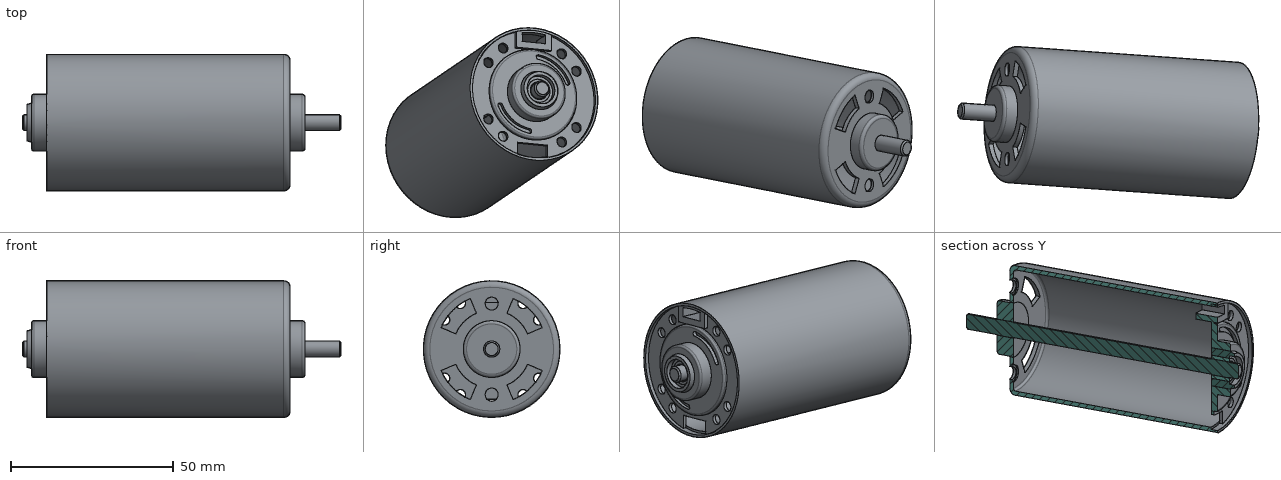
import cadquery as cq
import math


CAN_RADIUS = 21.05
CAN_LENGTH = 75.0
CAN_WALL = 1.5
CAN_BORE_RADIUS = CAN_RADIUS - CAN_WALL
CAN_FRONT_FILLET = 2.0
CAN_INNER_FILLET = 0.75
RIM_BORE_RADIUS = 20.25
FRONT_WALL_START = CAN_LENGTH - CAN_WALL

MOUNT_PITCH_RADIUS = 14.0
MOUNT_HOLE_RADIUS = 2.0
MOUNT_RECESS_RADIUS = 2.7
MOUNT_RECESS_DEPTH = 0.5
VENT_OUTER_RADIUS = 16.9
VENT_INNER_RADIUS = 12.0
VENT_SPAN = 44.0
VENT_ANGLES = (45, 135, 225, 315)

SHIELD_RECESS = 1.3
SHIELD_THICKNESS = 1.1
SHIELD_END = SHIELD_RECESS + SHIELD_THICKNESS
DISC_RADIUS = 14.3
DISC_FILLET = 0.65
PAD_WIDTH = 11.6
PAD_BOTTOM = 14.4
PAD_END = 8.0
WINDOW_WIDTH = 7.6
WINDOW_BOTTOM = 16.4
NOTCH_WIDTH = 9.8
NOTCH_TOP = 15.5
VENT_HOLE_DIAMETER = 3.1
VENT_HOLE_PITCH_RADIUS = 17.05
VENT_HOLE_ANGLES = (34.5, 58.2)
GROOVE_RADIUS = 12.0
GROOVE_WIDTH = 1.5
GROOVE_DEPTH = 1.3
GROOVE_MIDDLE_ANGLE = 37.2
GROOVE_SPAN = 60.0

HUB_RADIUS = 8.75
REAR_HUB_LENGTH = 4.6
REAR_HUB_FILLET = 0.65
FRONT_HUB_LENGTH = 4.6
FRONT_HUB_FILLET = 1.0

RETAINER_RADIUS = 6.07
RETAINER_TIP_RADIUS = 5.6
RETAINER_PROJECTION = 1.5
RETAINER_BORE_RADIUS = 4.55
RETAINER_RECESS_DEPTH = 1.9
BUSH_RADIUS = 3.66
BUSH_CHAMFER = 0.3

SHAFT_RADIUS = 2.5
SHAFT_CHAMFER = 0.5
SHAFT_REAR_END = -7.4
SHAFT_LENGTH = 98.0

REAR_HUB_FACE = -REAR_HUB_LENGTH
RETAINER_FACE = REAR_HUB_FACE - RETAINER_PROJECTION
BUSH_FACE = RETAINER_FACE + RETAINER_RECESS_DEPTH


def cylinder(radius, start, end):
    """Cylinder on the motor axis between two X positions."""
    return cq.Workplane("YZ", origin=(start, 0, 0)).circle(radius).extrude(end - start)


def block(width, bottom, top, start, end):
    """Box centred on Y = 0 that spans the given Z and X ranges."""
    box = cq.Workplane("XY").box(end - start, width, top - bottom, centered=(False, True, False))
    return box.translate((start, 0, bottom))


def polar(radius, angle):
    """Y and Z of a point, with the angle in degrees measured from +Z toward -Y."""
    return -radius * math.sin(math.radians(angle)), radius * math.cos(math.radians(angle))


def arc_slot(inner, outer, middle_angle, span, start, end):
    """Ring sector around the motor axis with radial ends."""
    first = middle_angle - span / 2
    last = middle_angle + span / 2
    return (
        cq.Workplane("YZ", origin=(start, 0, 0))
        .moveTo(*polar(inner, first))
        .threePointArc(polar(inner, middle_angle), polar(inner, last))
        .lineTo(*polar(outer, last))
        .threePointArc(polar(outer, middle_angle), polar(outer, first))
        .close()
        .extrude(end - start)
    )


def rounded_arc_slot(radius, width, middle_angle, span, start, end):
    """Ring sector around the motor axis with round ends."""
    slot = arc_slot(radius - width / 2, radius + width / 2, middle_angle, span, start, end)
    ends = [polar(radius, middle_angle + side * span / 2) for side in (-1, 1)]
    caps = cq.Workplane("YZ", origin=(start, 0, 0)).pushPoints(ends).circle(width / 2).extrude(end - start)
    return slot.union(caps)


def make_can():
    can = cylinder(CAN_RADIUS, 0, CAN_LENGTH).faces(">X").edges().fillet(CAN_FRONT_FILLET)
    cavity = cylinder(CAN_BORE_RADIUS, 0, FRONT_WALL_START).faces(">X").edges().fillet(CAN_INNER_FILLET)
    can = can.cut(cavity).cut(cylinder(RIM_BORE_RADIUS, 0, SHIELD_END))
    can = can.cut(cylinder(HUB_RADIUS, FRONT_WALL_START, CAN_LENGTH))

    mounts = [(0, MOUNT_PITCH_RADIUS), (0, -MOUNT_PITCH_RADIUS)]
    wall_plane = cq.Workplane("YZ", origin=(FRONT_WALL_START, 0, 0)).pushPoints(mounts)
    can = can.cut(wall_plane.circle(MOUNT_HOLE_RADIUS).extrude(CAN_WALL))
    can = can.cut(wall_plane.circle(MOUNT_RECESS_RADIUS).extrude(MOUNT_RECESS_DEPTH))

    for angle in VENT_ANGLES:
        vent = arc_slot(VENT_INNER_RADIUS, VENT_OUTER_RADIUS, angle, VENT_SPAN, FRONT_WALL_START, CAN_LENGTH)
        can = can.cut(vent)
    return can


def make_end_shield():
    shield = cylinder(RIM_BORE_RADIUS, SHIELD_RECESS, SHIELD_END)
    disc = cylinder(DISC_RADIUS, 0, SHIELD_END).faces("<X").edges().fillet(DISC_FILLET)
    hub = cylinder(HUB_RADIUS, REAR_HUB_FACE, SHIELD_END).faces("<X").edges().fillet(REAR_HUB_FILLET)
    pad = block(PAD_WIDTH, PAD_BOTTOM, CAN_RADIUS, 0, PAD_END)
    pad = pad.intersect(cylinder(RIM_BORE_RADIUS, 0, SHIELD_END).union(cylinder(CAN_BORE_RADIUS, 0, PAD_END)))
    shield = shield.union(disc).union(hub).union(pad)

    window = block(WINDOW_WIDTH, WINDOW_BOTTOM, CAN_RADIUS, 0, PAD_END)
    shield = shield.cut(window.intersect(cylinder(CAN_BORE_RADIUS, 0, PAD_END)))
    shield = shield.cut(block(NOTCH_WIDTH, -CAN_RADIUS, -NOTCH_TOP, 0, SHIELD_END))

    angles = [half + side * angle for half in (0, 180) for side in (-1, 1) for angle in VENT_HOLE_ANGLES]
    holes = (
        cq.Workplane("YZ")
        .pushPoints([polar(VENT_HOLE_PITCH_RADIUS, angle) for angle in angles])
        .circle(VENT_HOLE_DIAMETER / 2)
        .extrude(SHIELD_END)
    )
    shield = shield.cut(holes)

    for angle in (GROOVE_MIDDLE_ANGLE, GROOVE_MIDDLE_ANGLE + 180):
        shield = shield.cut(rounded_arc_slot(GROOVE_RADIUS, GROOVE_WIDTH, angle, GROOVE_SPAN, 0, GROOVE_DEPTH))
    return shield.cut(cylinder(RETAINER_RADIUS, REAR_HUB_FACE, SHIELD_END))


def make_retainer():
    """Ring in the rear hub with a tapered tip and a recess around the shaft."""
    profile = [
        (RETAINER_FACE, RETAINER_BORE_RADIUS),
        (RETAINER_FACE, RETAINER_TIP_RADIUS),
        (REAR_HUB_FACE, RETAINER_RADIUS),
        (SHIELD_END, RETAINER_RADIUS),
        (SHIELD_END, BUSH_RADIUS),
        (BUSH_FACE, BUSH_RADIUS),
        (BUSH_FACE, RETAINER_BORE_RADIUS),
    ]
    return cq.Workplane("XY").polyline(profile).close().revolve(360, (0, 0, 0), (1, 0, 0))


def make_rear_bush():
    bush = cylinder(BUSH_RADIUS, BUSH_FACE, SHIELD_END).cut(cylinder(SHAFT_RADIUS, BUSH_FACE, SHIELD_END))
    return bush.faces("<X").edges(cq.selectors.RadiusNthSelector(0)).chamfer(BUSH_CHAMFER)


def make_front_hub():
    front_face = CAN_LENGTH + FRONT_HUB_LENGTH
    hub = cylinder(HUB_RADIUS, FRONT_WALL_START, front_face).faces(">X").edges().fillet(FRONT_HUB_FILLET)
    return hub.cut(cylinder(SHAFT_RADIUS, FRONT_WALL_START, front_face))


def make_shaft():
    shaft = cylinder(SHAFT_RADIUS, SHAFT_REAR_END, SHAFT_REAR_END + SHAFT_LENGTH)
    return shaft.faces("<X or >X").edges().chamfer(SHAFT_CHAMFER)


can = make_can()
end_shield = make_end_shield()
retainer = make_retainer()
rear_bush = make_rear_bush()
front_hub = make_front_hub()
shaft = make_shaft()

result = cq.Compound.makeCompound(
    [can.val(), end_shield.val(), retainer.val(), rear_bush.val(), front_hub.val(), shaft.val()]
)